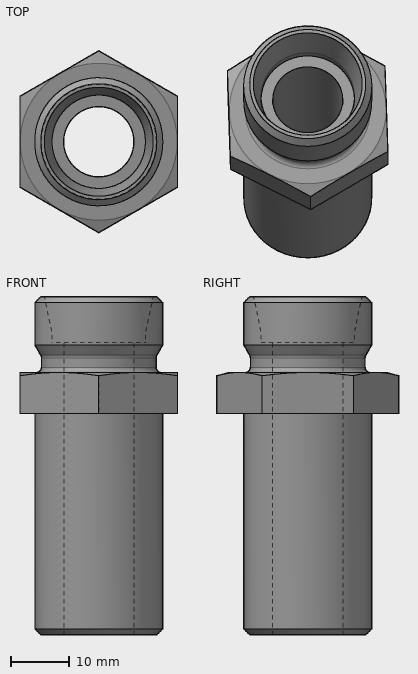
import cadquery as cq
import math

total_height = 58.0
hex_bottom = 37.95
hex_top = 45.0
thread_bottom = 49.7

body_radius = 22.0 / 2
neck_radius = 19.7 / 2
end_chamfer = 1.05
neck_fillet = 0.85
relief_half_angle = math.radians(30)

hex_across_flats = 27.0
hex_across_corners = hex_across_flats / math.cos(math.pi / 6)
hex_face_radius = 26.9 / 2
hex_chamfer_angle = math.radians(15)

bore_radius = 12.0 / 2
seat_radius = 16.0 / 2
mouth_radius = 18.7 / 2
seat_depth = 7.9
cone_half_angle = math.radians(12)
cone_depth = (mouth_radius - seat_radius) / math.tan(cone_half_angle)


def make_stem():
    """Plain round stem, chamfered at its lower end."""
    stem = cq.Workplane("XY").circle(body_radius).extrude(hex_top)
    return stem.faces("<Z").chamfer(end_chamfer)


def make_hexagon():
    """Hexagon with flats facing +X and -X, and its upper corners turned down."""
    hexagon = (
        cq.Workplane("XY")
        .workplane(offset=hex_bottom)
        .polygon(6, hex_across_corners)
        .extrude(hex_top - hex_bottom)
        .rotate((0, 0, 0), (0, 0, 1), 30)
    )
    corner_radius = hex_across_corners / 2
    envelope_radius = corner_radius + 0.6
    envelope_drop = (envelope_radius - hex_face_radius) * math.tan(hex_chamfer_angle)
    envelope = (
        cq.Workplane("XZ")
        .moveTo(0, hex_bottom)
        .lineTo(envelope_radius, hex_bottom)
        .lineTo(envelope_radius, hex_top - envelope_drop)
        .lineTo(hex_face_radius, hex_top)
        .lineTo(0, hex_top)
        .close()
        .revolve(360, (0, 0, 0), (0, 1, 0))
    )
    return hexagon.intersect(envelope)


def make_threaded_end():
    """Threaded end with a relief neck that blends into the hexagon."""
    relief_height = (body_radius - neck_radius) / math.tan(relief_half_angle)
    neck_top = thread_bottom - relief_height
    tangent_length = neck_fillet * math.tan(relief_half_angle / 2)
    blend_top_radius = neck_radius + tangent_length * math.sin(relief_half_angle)
    blend_top = neck_top + tangent_length * math.cos(relief_half_angle)
    return (
        cq.Workplane("XZ")
        .moveTo(0, hex_top)
        .lineTo(neck_radius + neck_fillet, hex_top)
        .radiusArc((neck_radius, hex_top + neck_fillet), neck_fillet)
        .lineTo(neck_radius, neck_top - tangent_length)
        .radiusArc((blend_top_radius, blend_top), neck_fillet)
        .lineTo(body_radius, thread_bottom)
        .lineTo(body_radius, total_height - end_chamfer)
        .lineTo(body_radius - end_chamfer, total_height)
        .lineTo(0, total_height)
        .close()
        .revolve(360, (0, 0, 0), (0, 1, 0))
    )


def make_cavity():
    """Through bore, tube seat and tapered mouth."""
    return (
        cq.Workplane("XZ")
        .lineTo(bore_radius, 0)
        .lineTo(bore_radius, total_height - seat_depth)
        .lineTo(seat_radius, total_height - seat_depth)
        .lineTo(seat_radius, total_height - cone_depth)
        .lineTo(mouth_radius, total_height)
        .lineTo(0, total_height)
        .close()
        .revolve(360, (0, 0, 0), (0, 1, 0))
    )


result = make_stem().union(make_hexagon()).union(make_threaded_end()).cut(make_cavity())